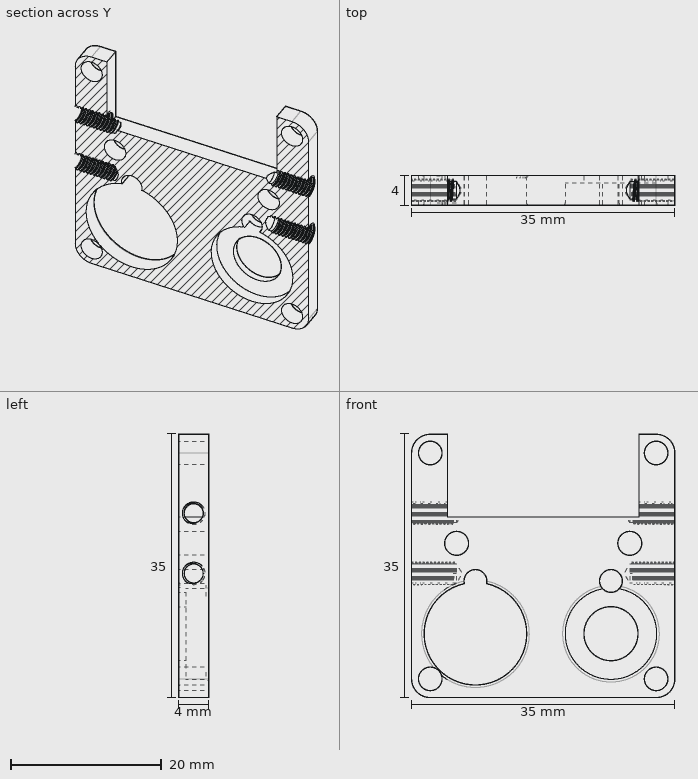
import math

import cadquery as cq

plate_size = 35.0
plate_thickness = 4.0
corner_radius = 2.5
front_y = -plate_thickness / 2

notch_width = 25.4
notch_depth = 11.0

corner_hole_diameter = 3.1
corner_hole_offset = plate_size / 2 - corner_radius
middle_hole_diameter = 3.15
middle_hole_x = 11.5
middle_hole_z = 3.0

bore_x = 9.0
bore_z = -9.0
through_bore_diameter = 13.6
recess_diameter = 12.15
recess_depth = 3.0
recess_bore_diameter = 7.15
rim_radius = 0.35
relief_hole_diameter = 3.0
relief_hole_z = -2.0

tap_heights = (-1.0, 7.0)
tap_drill_diameter = 2.52
tap_drill_depth = 6.0
drill_point_angle = 118.0
thread_diameter = 3.0
thread_pitch = 0.5
thread_depth = 5.75
thread_start_angle = 90.0
thread_mouth_width = 0.75 * thread_pitch
thread_crest_width = 0.25 * thread_pitch
thread_overlap = 0.06


def through_cylinder(x, z, diameter):
    """Cylinder along Y passing through the whole plate."""
    return front_cylinder(x, z, diameter, plate_thickness)


def front_cylinder(x, z, diameter, depth):
    """Cylinder sunk into the plate from its front face."""
    return cq.Workplane("XZ", origin=(x, front_y, z)).circle(diameter / 2).extrude(-depth)


def front_rim_rounding(x, z, bore_diameter):
    """Ring that rounds the front rim of a bore when cut away."""
    wall = bore_diameter / 2
    profile = (
        cq.Workplane("XY", origin=(x, front_y, z))
        .moveTo(wall, 0)
        .lineTo(wall + rim_radius, 0)
        .radiusArc((wall, rim_radius), rim_radius)
        .close()
    )
    return profile.revolve(360, (0, 0, 0), (0, 1, 0))


def make_plate():
    plate = cq.Workplane("XY").box(plate_size, plate_thickness, plate_size).edges("|Y").fillet(corner_radius)
    notch_z = plate_size / 2 - notch_depth / 2
    notch = cq.Workplane("XY").box(notch_width, plate_thickness, notch_depth).translate((0, 0, notch_z))
    return plate.cut(notch)


def cut_screw_holes(plate):
    for side in (-1, 1):
        plate = plate.cut(through_cylinder(side * middle_hole_x, middle_hole_z, middle_hole_diameter))
        for end in (-1, 1):
            plate = plate.cut(
                through_cylinder(side * corner_hole_offset, end * corner_hole_offset, corner_hole_diameter)
            )
    return plate


def cut_bores(plate):
    plate = plate.cut(through_cylinder(-bore_x, bore_z, through_bore_diameter))
    rounding = front_rim_rounding(-bore_x, bore_z, through_bore_diameter)
    plate = plate.cut(rounding).cut(rounding.mirror("XZ"))
    plate = plate.cut(front_cylinder(bore_x, bore_z, recess_diameter, recess_depth))
    plate = plate.cut(front_rim_rounding(bore_x, bore_z, recess_diameter))
    plate = plate.cut(through_cylinder(bore_x, bore_z, recess_bore_diameter))
    for side in (-1, 1):
        plate = plate.cut(through_cylinder(side * bore_x, relief_hole_z, relief_hole_diameter))
    return plate


def make_tap_drill():
    """Drilled hole with a conical end, running along +Z from the origin."""
    radius = tap_drill_diameter / 2
    point_length = radius / math.tan(math.radians(drill_point_angle / 2))
    profile = (
        cq.Workplane("XZ")
        .lineTo(radius, 0)
        .lineTo(radius, tap_drill_depth)
        .lineTo(0, tap_drill_depth + point_length)
        .close()
    )
    return profile.revolve(360, (0, 0, 0), (0, 1, 0))


def make_thread():
    """Helical thread groove along +Z, starting one pitch outside the hole mouth."""
    inner_radius = tap_drill_diameter / 2 - thread_overlap
    outer_radius = thread_diameter / 2
    helix = cq.Wire.makeHelix(thread_pitch, thread_depth + thread_pitch, inner_radius)
    profile = (
        cq.Workplane("XZ")
        .moveTo(inner_radius, -thread_mouth_width / 2)
        .lineTo(outer_radius, -thread_crest_width / 2)
        .lineTo(outer_radius, thread_crest_width / 2)
        .lineTo(inner_radius, thread_mouth_width / 2)
        .close()
    )
    thread = profile.sweep(cq.Workplane(helix), isFrenet=True)
    return thread.rotate((0, 0, 0), (0, 0, 1), thread_start_angle).translate((0, 0, -thread_pitch))


def cut_tapped_holes(plate):
    drill = make_tap_drill()
    thread = make_thread()
    for height in tap_heights:
        for cutter in (drill, thread):
            left_cutter = cutter.rotate((0, 0, 0), (0, 1, 0), 90).translate((-plate_size / 2, 0, height))
            right_cutter = left_cutter.rotate((0, 0, 0), (0, 0, 1), 180)
            plate = plate.cut(left_cutter).cut(right_cutter)
    return plate


result = cut_tapped_holes(cut_bores(cut_screw_holes(make_plate())))